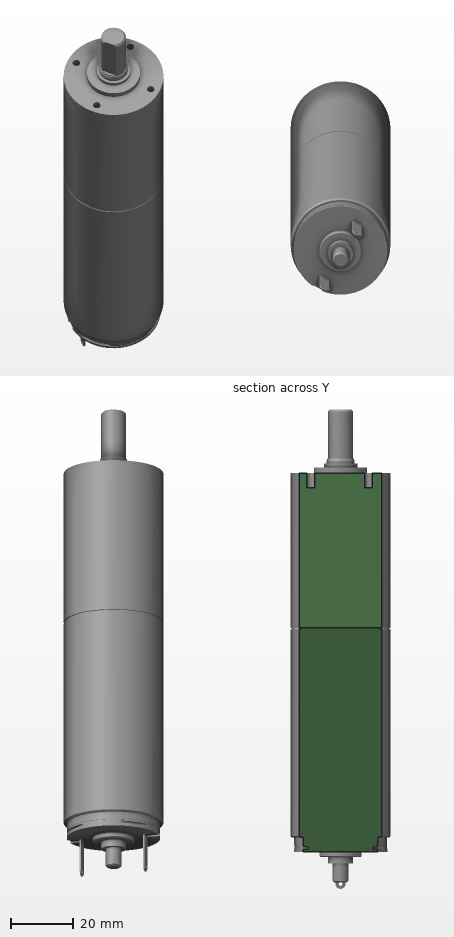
import cadquery as cq

overall_length = 153.5
body_diameter = 32.0
joint_z = -49.6
rim_chamfer = 0.5

pilot_diameter = 17.0
pilot_height = 1.8
collar_diameter = 10.7
collar_height = 1.2
mount_hole_diameter = 2.5
mount_hole_depth = 4.6
mount_circle_diameter = 26.1
gearbox_angle = 43.2
mount_hole_count = 4

shaft_diameter = 8.0
shaft_top_z = 20.4
shaft_chamfer = 0.6
flat_bottom_z = 5.2
flat_depth = 0.8
flat_angle = gearbox_angle - 90
shaft_ring_diameter = 9.0
shaft_ring_bottom_z = pilot_height + collar_height
shaft_ring_top_z = 4.8
shaft_ring_chamfer_height = 0.9
shaft_ring_chamfer_width = 0.3

can_bottom_z = -116.7
cap_diameter = 30.0
cap_bottom_z = -121.3
cap_groove_top_z = -119.1
cap_groove_height = 1.2
cap_groove_depth = 0.2
boss_diameter = 13.5
boss_height = 1.5
boss_chamfer = 0.3
bearing_diameter = 8.0
bearing_height = 2.1
rear_shaft_diameter = 5.0
rear_shaft_length = 6.0
rear_shaft_chamfer = 0.5

pocket_count = 4
pocket_start_angle = 45
pocket_width = 9.8
pocket_height = 0.8
pocket_depth = 1.2

terminal_width = 3.2
terminal_thickness = 0.5
terminal_offset = 10.6
terminal_top_z = -120.3
terminal_tip_z = shaft_top_z - overall_length
terminal_hole_diameter = 1.2
terminal_bend_radius = 0.38
terminal_foot_inset = 0.3


def disc(diameter, bottom_z, top_z):
    """Cylinder on the Z axis between two heights."""
    return cq.Workplane("XY").workplane(offset=bottom_z).circle(diameter / 2).extrude(top_z - bottom_z)


def make_output_shaft():
    """Output shaft with a flat and a raised ring; its lower end sits in the gearbox bore."""
    shaft = disc(shaft_diameter, 0, shaft_top_z).faces(">Z").chamfer(shaft_chamfer)
    flat_distance = shaft_diameter / 2 - flat_depth
    flat_cutter = (
        cq.Workplane("XY")
        .box(shaft_diameter, shaft_diameter, shaft_top_z, centered=(False, True, False))
        .translate((flat_distance, 0, flat_bottom_z))
        .rotate((0, 0, 0), (0, 0, 1), flat_angle)
    )
    ring = disc(shaft_ring_diameter, shaft_ring_bottom_z, shaft_ring_top_z)
    ring = ring.faces(">Z").chamfer(shaft_ring_chamfer_height, shaft_ring_chamfer_width)
    return shaft.cut(flat_cutter).union(ring)


def make_gearbox():
    """Gearbox housing with a stepped front, a shaft bore and four mounting holes."""
    collar_top_z = pilot_height + collar_height
    housing = (
        disc(body_diameter, joint_z, 0)
        .union(disc(pilot_diameter, 0, pilot_height))
        .union(disc(collar_diameter, pilot_height, collar_top_z))
    )
    bore = disc(shaft_diameter, 0, collar_top_z)
    mount_holes = (
        cq.Workplane("XY")
        .polarArray(mount_circle_diameter / 2, gearbox_angle, 360, mount_hole_count)
        .circle(mount_hole_diameter / 2)
        .extrude(-mount_hole_depth)
    )
    return housing.cut(bore).cut(mount_holes)


def make_terminal():
    """Terminal on the -Y side: a foot running out to the rim and a round-ended leg with an eye."""
    tip_radius = terminal_width / 2
    eye_z = terminal_tip_z + tip_radius
    outer_y = -terminal_offset - terminal_thickness / 2
    inner_y = -terminal_offset + terminal_thickness / 2
    leg = (
        cq.Workplane("XZ", origin=(0, inner_y, 0))
        .moveTo(-tip_radius, terminal_top_z)
        .lineTo(-tip_radius, eye_z)
        .threePointArc((0, terminal_tip_z), (tip_radius, eye_z))
        .lineTo(tip_radius, terminal_top_z)
        .close()
        .moveTo(0, eye_z)
        .circle(terminal_hole_diameter / 2)
        .extrude(terminal_thickness)
    )
    leg = leg.edges(">Z and >Y").fillet(terminal_bend_radius)
    foot_length = cap_diameter / 2 + outer_y - terminal_foot_inset
    foot = (
        cq.Workplane("XY")
        .box(terminal_width, foot_length, terminal_thickness, centered=(True, False, False))
        .translate((0, outer_y - foot_length, terminal_top_z - terminal_thickness))
    )
    return leg.union(foot)


def make_motor():
    """Motor can, end cap, rear bearing and shaft, and the two terminals."""
    can = disc(body_diameter, can_bottom_z, joint_z).faces("<Z or >Z").chamfer(rim_chamfer)
    cap = disc(cap_diameter, cap_bottom_z, can_bottom_z)
    groove_bottom_z = cap_groove_top_z - cap_groove_height
    groove = disc(cap_diameter, groove_bottom_z, cap_groove_top_z).cut(
        disc(cap_diameter - 2 * cap_groove_depth, groove_bottom_z, cap_groove_top_z)
    )
    slot_height = terminal_top_z - cap_bottom_z
    slot_length = cap_diameter / 2 - terminal_offset + terminal_thickness / 2
    slot = (
        cq.Workplane("XY")
        .box(terminal_width, slot_length, slot_height, centered=(True, False, False))
        .translate((0, -cap_diameter / 2, cap_bottom_z))
    )
    pockets = (
        cq.Workplane("XY")
        .workplane(offset=groove_bottom_z)
        .polarArray(cap_diameter / 2, pocket_start_angle, 360, pocket_count)
        .rect(2 * pocket_depth, pocket_width)
        .extrude(pocket_height)
    )
    boss_bottom_z = cap_bottom_z - boss_height
    bearing_bottom_z = boss_bottom_z - bearing_height
    boss = disc(boss_diameter, boss_bottom_z, cap_bottom_z).faces("<Z").chamfer(boss_chamfer)
    bearing = disc(bearing_diameter, bearing_bottom_z, boss_bottom_z)
    rear_shaft = disc(rear_shaft_diameter, bearing_bottom_z - rear_shaft_length, bearing_bottom_z)
    rear_shaft = rear_shaft.faces("<Z").chamfer(rear_shaft_chamfer)

    cap = cap.cut(groove).cut(pockets)
    motor = can.union(cap).union(boss).union(bearing).union(rear_shaft)
    terminal = make_terminal()
    for angle in (0, 180):
        motor = motor.cut(slot.rotate((0, 0, 0), (0, 0, 1), angle))
        motor = motor.union(terminal.rotate((0, 0, 0), (0, 0, 1), angle))
    return motor


output_shaft = make_output_shaft()
gearbox = make_gearbox()
motor = make_motor()

result = cq.Compound.makeCompound([output_shaft.val(), gearbox.val(), motor.val()])